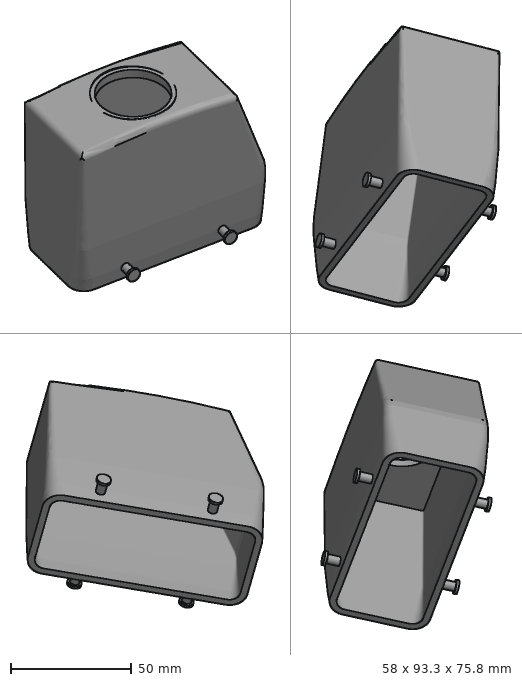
import cadquery as cq
import math

length = 93.3
height = 75.8
half_width = 22.8
half_width_waist = 22.2
half_width_base = 21.6
end_draft = 0.015

skirt_top = 6.7
taper_top = 23.1
slope_blend_bottom = 28.9
slope_blend_top = 32.7
slope_rate = 0.355

corner_base = 7.65
corner_taper = 3.9
corner_top = 1.4

roof_radius = 298.6
roof_edge_radius = 2.9
back_edge_radius = 1.6
entry_y = -6.0
entry_diameter = 31.9
spotface_diameter = 35.9
spotface_half_length = 17.4

wall = 3.0
min_inner_corner = 0.7
roof_thickness = 4.1

peg_span = 58.0
peg_spacing = 47.6
peg_z = 6.0
peg_diameter = 4.0
peg_head_diameter = 6.1
peg_head_thickness = 1.2

half_length = length / 2
crease_z = (slope_blend_bottom + slope_blend_top) / 2
arch_center_z = height - roof_radius
spotface_z = arch_center_z + math.sqrt(roof_radius**2 - spotface_half_length**2)
ceiling_z = spotface_z - roof_thickness


def side_reach(z):
    """Half width of the hood at height z."""
    if z <= skirt_top:
        return half_width_base + (half_width_waist - half_width_base) * z / skirt_top
    if z <= taper_top:
        rise = (z - skirt_top) / (taper_top - skirt_top)
        return half_width_waist + (half_width - half_width_waist) * rise
    return half_width


def corner_radius(z):
    """Radius of the upright corner rounds at height z."""
    if z <= taper_top:
        return corner_base + (corner_taper - corner_base) * z / taper_top
    return corner_taper + (corner_top - corner_taper) * (z - taper_top) / (height - taper_top)


def front_reach(z):
    """Distance of the -Y wall from the XZ plane."""
    return half_length - end_draft * z


def back_reach(z):
    """Distance of the +Y wall from the XZ plane, including the slanted back."""
    if z <= crease_z:
        return half_length - end_draft * z
    return half_length - end_draft * crease_z - slope_rate * (z - crease_z)


def half_section(z, reach, direction, inset):
    """Horizontal outline of one half of the hood, with its two outer corners rounded."""
    x = side_reach(z) - inset
    y = reach(z) - inset
    r = max(corner_radius(z) - inset, min_inner_corner)
    bulge = r * (1 - math.sqrt(0.5))
    return (
        cq.Workplane("XY", origin=(0, 0, z))
        .moveTo(-x, 0)
        .lineTo(-x, direction * (y - r))
        .threePointArc((-x + bulge, direction * (y - bulge)), (-x + r, direction * y))
        .lineTo(x - r, direction * y)
        .threePointArc((x - bulge, direction * (y - bulge)), (x, direction * (y - r)))
        .lineTo(x, 0)
        .close()
        .val()
    )


def half_hood(levels, reach, direction, inset):
    """Straight-sided loft through the half outlines at the given heights."""
    wires = [half_section(z, reach, direction, inset) for z in levels]
    return cq.Workplane(cq.Solid.makeLoft(wires, True))


def hood_block(top, inset=0.0):
    """Solid hood shape without its roof, optionally inset on all four sides."""
    front_levels = [0, skirt_top, taper_top, top]
    back_levels = [0, skirt_top, taper_top, slope_blend_bottom, slope_blend_top, top]
    front = half_hood(front_levels, front_reach, -1, inset)
    back = half_hood(back_levels, back_reach, 1, inset)
    return front.union(back).clean()


def arch_z(y):
    """Height of the roof arch at position y."""
    return arch_center_z + math.sqrt(roof_radius**2 - (y - entry_y)**2)


def end_envelope():
    """Side profile swept along X, rounding the roof edges at both ends."""
    front_y = -front_reach(height)
    back_y = back_reach(arch_z(back_reach(height)))
    profile = (
        cq.Workplane("YZ", origin=(-half_width, 0, 0))
        .moveTo(-half_length, 0)
        .lineTo(front_y, arch_z(front_y))
        .threePointArc((entry_y, height), (back_y, arch_z(back_y)))
        .lineTo(back_reach(crease_z), crease_z)
        .lineTo(half_length, 0)
        .close()
        .extrude(2 * half_width)
    )
    roof_front = cq.selectors.NearestToPointSelector((0, front_y, arch_z(front_y)))
    roof_back = cq.selectors.NearestToPointSelector((0, back_y, arch_z(back_y)))
    profile = profile.edges("|X").edges(roof_front).fillet(roof_edge_radius)
    return profile.edges("|X").edges(roof_back).fillet(back_edge_radius)


def roof_envelope():
    """Cross-section with rounded top corners, revolved about the axis of the roof arch."""
    sweep_angle = 30
    arch = (
        cq.Workplane("XZ", origin=(0, entry_y, 0))
        .moveTo(-half_width, -height)
        .lineTo(-half_width, height - roof_edge_radius)
        .radiusArc((-half_width + roof_edge_radius, height), roof_edge_radius)
        .lineTo(half_width - roof_edge_radius, height)
        .radiusArc((half_width, height - roof_edge_radius), roof_edge_radius)
        .lineTo(half_width, -height)
        .close()
        .revolve(sweep_angle, (-0.9, arch_center_z, 0), (0.9, arch_center_z, 0))
    )
    return arch.rotate(
        (-0.9, entry_y, arch_center_z), (0.9, entry_y, arch_center_z), -sweep_angle / 2
    )


def peg(side, y):
    """Headed locking peg standing out of a side wall."""
    root_x = half_width_base - wall / 2
    tip_x = peg_span / 2
    shaft = (
        cq.Workplane("YZ", origin=(side * root_x, y, peg_z))
        .circle(peg_diameter / 2)
        .extrude(side * (tip_x - root_x))
    )
    head = (
        cq.Workplane("YZ", origin=(side * tip_x, y, peg_z))
        .circle(peg_head_diameter / 2)
        .extrude(-side * peg_head_thickness)
    )
    return shaft.union(head)


hood = hood_block(height).intersect(end_envelope()).intersect(roof_envelope())
hood = hood.cut(hood_block(ceiling_z, wall))

entry_plane = cq.Workplane("XY", origin=(0, entry_y, spotface_z))
hood = hood.cut(entry_plane.circle(spotface_diameter / 2).extrude(height - spotface_z))
hood = hood.cut(entry_plane.circle(entry_diameter / 2).extrude(-2 * roof_thickness))

for side in (-1, 1):
    for y in (-peg_spacing / 2, peg_spacing / 2):
        hood = hood.union(peg(side, y))

result = hood